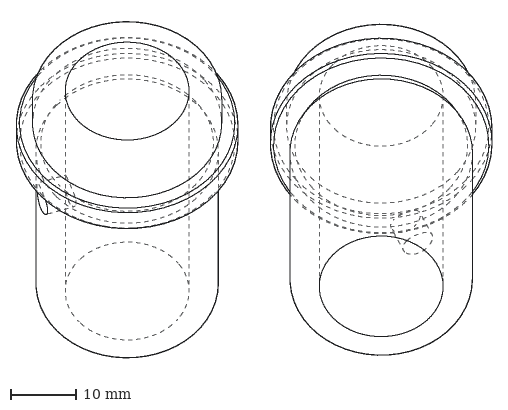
import cadquery as cq

total_height = 50.0
flange_bottom = 37.0
flange_thickness = 5.0
flange_top = flange_bottom + flange_thickness
neck_height = 2.0

body_radius = 14.0
neck_radius = 13.25
head_radius = 14.5
flange_radius = 17.0
bore_radius = 9.5

end_fillet = 2.0
flange_chamfer = 0.5

side_hole_diameter = 5.0
side_hole_height = 29.0


def make_body():
    """Lower cylinder with a rounded foot and a tapered neck below the flange."""
    straight_height = flange_bottom - neck_height
    body = cq.Workplane("XY").circle(body_radius).extrude(straight_height)
    body = body.faces("<Z").edges().fillet(end_fillet)
    neck = (
        cq.Workplane("XY", origin=(0, 0, straight_height))
        .circle(body_radius)
        .workplane(offset=neck_height)
        .circle(neck_radius)
        .loft()
    )
    return body.union(neck)


def make_flange():
    """Collar with both outer edges chamfered."""
    flange = cq.Workplane("XY", origin=(0, 0, flange_bottom)).circle(flange_radius).extrude(flange_thickness)
    return flange.edges().chamfer(flange_chamfer)


def make_head():
    """Short cylinder above the flange with a rounded top edge."""
    head = cq.Workplane("XY", origin=(0, 0, flange_top)).circle(head_radius).extrude(total_height - flange_top)
    return head.faces(">Z").edges().fillet(end_fillet)


def make_bore():
    """Straight bore along the full height."""
    return cq.Workplane("XY").circle(bore_radius).extrude(total_height)


def make_side_hole():
    """Hole along Y, from the bore axis out through the -Y wall."""
    return (
        cq.Workplane("XZ", origin=(0, 0, side_hole_height))
        .circle(side_hole_diameter / 2)
        .extrude(flange_radius)
    )


result = make_body().union(make_flange()).union(make_head()).cut(make_bore()).cut(make_side_hole())